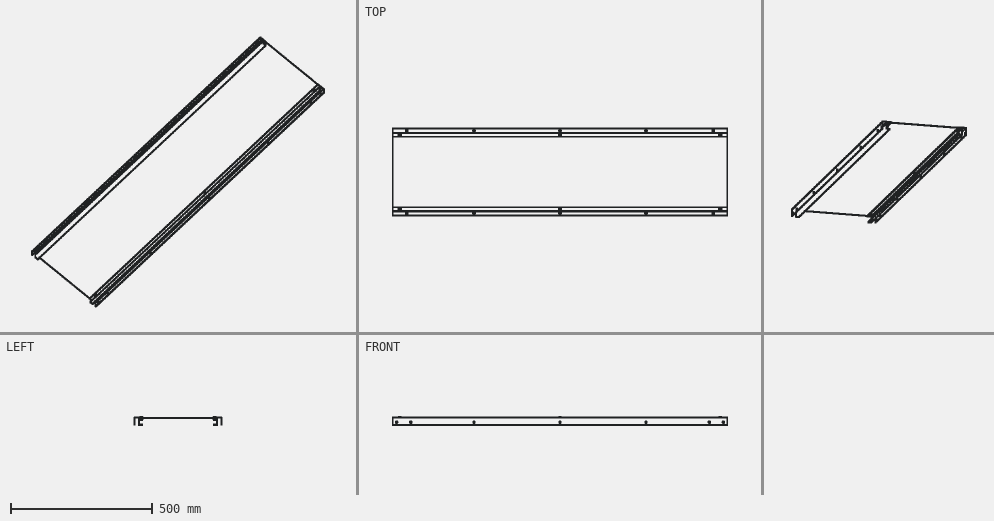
import cadquery as cq

length = 1185.0
width = 309.0
rail_height = 27.0
sheet = 2.0

half_width = width / 2
web_outer = 140.0
web_inner = web_outer - sheet
flange_inner = 125.0
foot_inner = 127.0
lip_bottom = 1.0
outer_corner_radius = 2.0
foot_inner_radius = 1.0

panel_thickness = 2.0
panel_top = rail_height - sheet
panel_bottom = panel_top - panel_thickness
ledge_bottom = panel_bottom - sheet

hole_diameter = 6.0
flange_hole_inset = 8.0
flange_hole_y = half_width - flange_hole_inset
flange_hole_distances = (0.0, 305.0, 543.0)
lip_hole_height = 10.1
lip_hole_distances = (0.0, 305.0, 529.0, 578.0)

screw_distances = (0.0, 568.0)
screw_y = 130.0
shank_diameter = 6.5
shank_bottom = 17.0
head_diameter = 10.2
head_top_diameter = 6.9
head_height = 1.4


def mirrored(distances):
    """X positions at the given distances on both sides of the middle, each once."""
    return sorted({sign * distance for distance in distances for sign in (-1, 1)})


screw_x = mirrored(screw_distances)


def vertical_holes(x_positions, y, diameter, bottom):
    """Cylinders from the given height to above the rail, for cutting."""
    points = [(x, y) for x in x_positions]
    drill = cq.Workplane("XY", origin=(0, 0, bottom)).pushPoints(points)
    return drill.circle(diameter / 2).extrude(rail_height)


def lip_holes():
    """Cylinders along Y through the lip only, for cutting."""
    points = [(x, lip_hole_height) for x in mirrored(lip_hole_distances)]
    drill = cq.Workplane("XZ", origin=(0, half_width + sheet, 0)).pushPoints(points)
    return drill.circle(hole_diameter / 2).extrude(3 * sheet)


def make_rail():
    """The +Y rail: outer lip, flange, slot for the panel, web and foot in one section."""
    outline = [
        (flange_inner, rail_height),
        (half_width, rail_height),
        (half_width, lip_bottom),
        (half_width - sheet, lip_bottom),
        (half_width - sheet, panel_top),
        (web_outer, panel_top),
        (web_outer, 0),
        (foot_inner, 0),
        (foot_inner, sheet),
        (web_inner, sheet),
        (web_inner, ledge_bottom),
        (flange_inner, ledge_bottom),
        (flange_inner, panel_bottom),
        (web_inner, panel_bottom),
        (web_inner, panel_top),
        (flange_inner, panel_top),
    ]
    rail = cq.Workplane("YZ", origin=(-length / 2, 0, 0)).polyline(outline).close().extrude(length)

    def corner(y, z):
        return cq.selectors.NearestToPointSelector((0, y, z))

    rail = rail.edges(corner(half_width, rail_height)).fillet(outer_corner_radius)
    rail = rail.edges(corner(web_outer, 0)).fillet(outer_corner_radius)
    rail = rail.edges(corner(web_inner, sheet)).fillet(foot_inner_radius)

    flange_hole_x = mirrored(flange_hole_distances)
    rail = rail.cut(vertical_holes(flange_hole_x, flange_hole_y, hole_diameter, panel_bottom))
    rail = rail.cut(lip_holes())
    return rail.cut(vertical_holes(screw_x, screw_y, shank_diameter, shank_bottom))


def make_panel():
    """Flat sheet reaching from web to web, with holes that fit the screws."""
    base = cq.Workplane("XY", origin=(0, 0, panel_bottom))
    panel = base.rect(length, 2 * web_inner).extrude(panel_thickness)
    for side in (-1, 1):
        panel = panel.cut(vertical_holes(screw_x, side * screw_y, shank_diameter, shank_bottom))
    return panel


def make_screw(x, y):
    """Round shank under a flat-topped, tapered head, turned about the screw axis."""
    head_top = rail_height + head_height
    half_section = [
        (0, shank_bottom),
        (shank_diameter / 2, shank_bottom),
        (shank_diameter / 2, rail_height),
        (head_diameter / 2, rail_height),
        (head_top_diameter / 2, head_top),
        (0, head_top),
    ]
    screw = cq.Workplane("XZ").polyline(half_section).close().revolve(360, (0, 0, 0), (0, 1, 0))
    return screw.translate((x, y, 0))


panel = make_panel()
back_rail = make_rail()
front_rail = back_rail.mirror("XZ")
screws = [make_screw(x, side * screw_y) for side in (-1, 1) for x in screw_x]

result = cq.Compound.makeCompound(
    [panel.val(), back_rail.val(), front_rail.val(), *[screw.val() for screw in screws]]
)